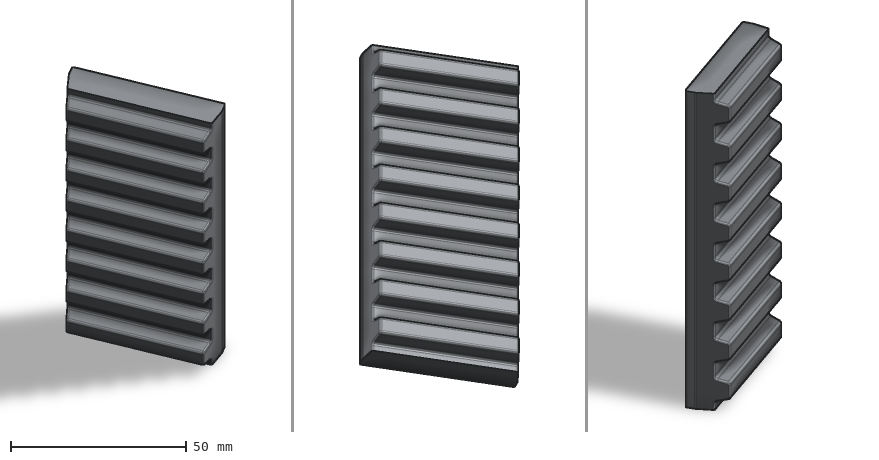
import cadquery as cq
import math

WIDTH = 46.0
THICKNESS = 12.9
HEIGHT = 101.6

STRAIGHT_SIDE = 3.1
TAPER_ANGLE = 13.6
BACK_RADIUS = 0.6
SIDE_BLEND_RADIUS = 2.5

TOOTH_COUNT = 8
TOOTH_DEPTH = 4.4
TIP_WIDTH = 5.4
FLANK_ANGLE = 14.0
TIP_RADIUS = 1.0
ROOT_RADIUS = 1.0
RIM_RADIUS = 0.66

PITCH = HEIGHT / TOOTH_COUNT
BACK_Y = THICKNESS / 2
BEND_Y = BACK_Y - STRAIGHT_SIDE
TIP_Y = -THICKNESS / 2
ROOT_Y = TIP_Y + TOOTH_DEPTH
TOP_Z = HEIGHT / 2
BOTTOM_Z = -HEIGHT / 2

TOLERANCE = 0.01


def edges_between(y_min, y_max):
    """Select edges centred in a Y range, leaving out those on the two Z ends."""
    return cq.selectors.BoxSelector(
        (-WIDTH, y_min - TOLERANCE, BOTTOM_Z + TOLERANCE),
        (WIDTH, y_max + TOLERANCE, TOP_Z - TOLERANCE),
    )


def make_block():
    """Tapered bar along Z with its back edges and side bends rounded."""
    half_back = WIDTH / 2
    half_front = half_back - (BEND_Y - TIP_Y) * math.tan(math.radians(TAPER_ANGLE))
    outline = [
        (half_back, BACK_Y),
        (half_back, BEND_Y),
        (half_front, TIP_Y),
        (-half_front, TIP_Y),
        (-half_back, BEND_Y),
        (-half_back, BACK_Y),
    ]
    block = (
        cq.Workplane("XY")
        .workplane(offset=BOTTOM_Z)
        .polyline(outline)
        .close()
        .extrude(HEIGHT)
    )
    block = block.edges("|Z and >Y").fillet(BACK_RADIUS)
    return block.edges("|Z").edges(edges_between(BEND_Y, BEND_Y)).fillet(SIDE_BLEND_RADIUS)


def make_rack():
    """Toothed bar along X, wider than the block, with rounded tips and roots."""
    half_tip = TIP_WIDTH / 2
    half_root = half_tip + TOOTH_DEPTH * math.tan(math.radians(FLANK_ANGLE))
    outline = [(BACK_Y, BOTTOM_Z), (ROOT_Y, BOTTOM_Z)]
    for index in range(TOOTH_COUNT):
        center_z = BOTTOM_Z + (index + 0.5) * PITCH
        outline += [
            (ROOT_Y, center_z - half_root),
            (TIP_Y, center_z - half_tip),
            (TIP_Y, center_z + half_tip),
            (ROOT_Y, center_z + half_root),
        ]
    outline += [(ROOT_Y, TOP_Z), (BACK_Y, TOP_Z)]
    rack = cq.Workplane("YZ").polyline(outline).close().extrude(WIDTH, both=True)

    rack = rack.edges("|X and <Y").fillet(TIP_RADIUS)
    return rack.edges("|X").edges(edges_between(ROOT_Y, ROOT_Y)).fillet(ROOT_RADIUS)


def round_rims(toothed_block):
    """Round the edge that follows the teeth along each side."""
    rims = toothed_block.edges("not |X").edges(edges_between(TIP_Y, ROOT_Y))
    return rims.fillet(RIM_RADIUS)


toothed_block = make_block().intersect(make_rack())
result = round_rims(toothed_block)